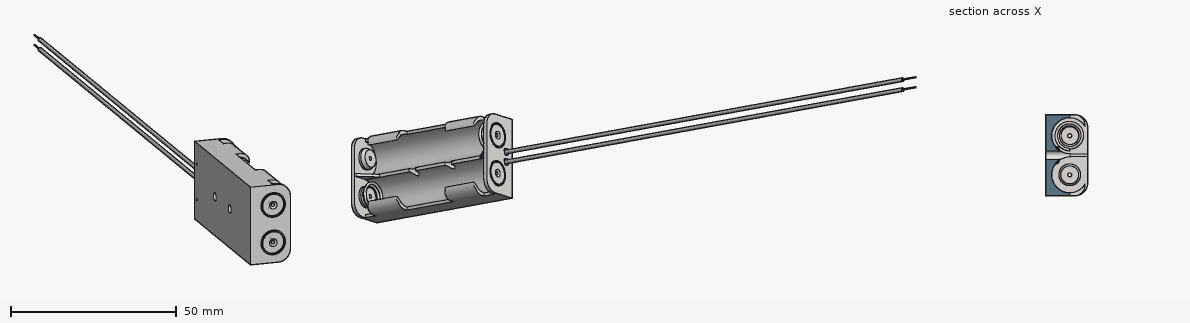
import cadquery as cq
import math

length = 51.31
height = 12.8
width = 24.51
end_wall = 1.2
end_wall_corner_radius = 4.0
rim_height = 7.4

bay_axis_height = 7.3
bay_axis_offset = 5.9
bay_radius = 5.4

clip_height = 11.9
clip_corner_radius = 3.2
clip_length = 11.7
clip_end_gap = 5.2
clip_tip_radius = 0.8

gusset_thickness = 0.8
gusset_leg = height - rim_height

mount_hole_diameter = 2.5
mount_hole_spacing = 13.6
mount_hole_centre_x = 25.45
pin_hole_diameter = 0.6
pin_hole_x = 2.1
pin_hole_offset = 5.6

seat_diameter = 7.7
seat_depth = 0.4
flange_diameter = 6.8
shank_diameter = 3.4
countersink_diameter = 2.4
bore_diameter = 1.1
head_diameter = 6.6
head_tip_diameter = 5.4
head_rim_thickness = 0.7
head_taper_length = 1.2

spring_wire_diameter = 0.8
spring_base_radius = 2.5
spring_tip_radius = 4.7
spring_start = 2.3
spring_rise = 2.7
spring_turns = 3

lead_height = 3.0
lead_spacing = 3.1
insulation_diameter = 1.2
conductor_diameter = 0.4
insulation_length = 150.0
stripped_length = 5.0
lead_hole_diameter = 2.2
lead_hole_depth = end_wall

head_length = head_rim_thickness + head_taper_length
bay_offsets = (-bay_axis_offset, bay_axis_offset)
lead_offsets = (-lead_spacing / 2, lead_spacing / 2)


def cylinder_x(diameter, start, end, y, z):
    """Cylinder along X from start to end, with its axis at (y, z)."""
    return cq.Workplane("YZ", origin=(start, y, z)).circle(diameter / 2).extrude(end - start)


def plain_block(start, end, top):
    """Full-width block from start to end along X, standing on Y = 0."""
    base = cq.Workplane("XY", origin=(start, 0, 0))
    return base.box(end - start, top, width, centered=(False, False, True))


def wall_block(start, end, top, corner_radius):
    """Full-width block from start to end along X, with both +Y corners rounded."""
    block = plain_block(start, end, top)
    return block.edges("|X and >Y").fillet(corner_radius)


def gusset():
    """Triangular web against the -X end wall."""
    foot = end_wall + gusset_leg
    outline = [(end_wall, rim_height), (foot, rim_height), (end_wall, height)]
    return cq.Workplane("XY").polyline(outline).close().extrude(gusset_thickness / 2, both=True)


def at_far_end(shape):
    """Mirror a shape from the -X end of the housing to the +X end."""
    return shape.mirror("YZ", (length / 2, 0, 0))


def contact_hole(z):
    """Seat and shank hole of a contact in the -X end wall."""
    seat = cylinder_x(seat_diameter, 0, seat_depth, bay_axis_height, z)
    return seat.union(cylinder_x(shank_diameter, 0, end_wall, bay_axis_height, z))


def floor_holes(diameter, points):
    """Holes along Y at (X, Z) points, from the floor up through the full height."""
    return cq.Workplane("XZ").pushPoints(points).circle(diameter / 2).extrude(-height)


def make_clip_block():
    """Both clips of the -X end as one full-width block, with rounded tip corners."""
    clip_end = clip_end_gap + clip_length
    curled = wall_block(clip_end_gap, clip_end, clip_height, clip_corner_radius)
    tips = plain_block(clip_end_gap, clip_end, clip_height).edges("|Z and >Y").fillet(clip_tip_radius)
    return curled.intersect(tips)


def make_housing():
    body = plain_block(0, length, rim_height)
    clip = make_clip_block()
    body = body.union(clip).union(at_far_end(clip))
    opening = cq.Workplane("XY", origin=(0, rim_height, 0))
    body = body.cut(opening.box(length, height, 2 * bay_axis_offset, centered=(False, False, True)))
    for z in bay_offsets:
        body = body.cut(cylinder_x(2 * bay_radius, end_wall, length - end_wall, bay_axis_height, z))
    end = wall_block(0, end_wall, height, end_wall_corner_radius)
    for brace in (end, gusset()):
        body = body.union(brace).union(at_far_end(brace))
    for z in bay_offsets:
        hole = contact_hole(z)
        body = body.cut(hole).cut(at_far_end(hole))
    for z in lead_offsets:
        body = body.cut(cylinder_x(lead_hole_diameter, 0, lead_hole_depth, lead_height, z))
    half_spacing = mount_hole_spacing / 2
    mount_points = [(mount_hole_centre_x + side * half_spacing, 0) for side in (-1, 1)]
    pin_points = [(pin_hole_x, side * pin_hole_offset) for side in (-1, 1)]
    body = body.cut(floor_holes(mount_hole_diameter, mount_points))
    return body.cut(floor_holes(pin_hole_diameter, pin_points))


def make_button_contact(z):
    """Hollow rivet in the -X end wall, turned from a half profile of (X, radius) points."""
    rim_end = end_wall + head_rim_thickness
    head_end = end_wall + head_length
    profile = [
        (0, countersink_diameter / 2),
        (0, flange_diameter / 2),
        (seat_depth, flange_diameter / 2),
        (seat_depth, shank_diameter / 2),
        (end_wall, shank_diameter / 2),
        (end_wall, head_diameter / 2),
        (rim_end, head_diameter / 2),
        (head_end, head_tip_diameter / 2),
        (head_end, bore_diameter / 2),
        (seat_depth, bore_diameter / 2),
    ]
    rivet = cq.Workplane("XY").polyline(profile).close().revolve(360, (0, 0, 0), (1, 0, 0))
    return rivet.translate((0, bay_axis_height, z))


def make_spring_contact(z):
    """Button contact with a conical spring wound outwards from its head."""
    cone_angle = math.degrees(math.atan2(spring_tip_radius - spring_base_radius, spring_rise))
    path = cq.Wire.makeHelix(spring_rise / spring_turns, spring_rise, spring_base_radius, angle=cone_angle)
    start = cq.Workplane("XZ", origin=(spring_base_radius, 0, 0)).circle(spring_wire_diameter / 2)
    coil = start.sweep(cq.Workplane(path), isFrenet=True)
    coil = coil.rotate((0, 0, 0), (0, 1, 0), 90).translate((spring_start, bay_axis_height, z))
    return make_button_contact(z).union(coil)


def make_insulation(z):
    return cylinder_x(insulation_diameter, -insulation_length, lead_hole_depth, lead_height, z)


def make_conductor(z):
    tip = -insulation_length - stripped_length
    return cylinder_x(conductor_diameter, tip, -insulation_length, lead_height, z)


housing = make_housing()
lower_z, upper_z = bay_offsets
springs = [make_spring_contact(upper_z), at_far_end(make_spring_contact(lower_z))]
buttons = [make_button_contact(lower_z), at_far_end(make_button_contact(upper_z))]
insulations = [make_insulation(z) for z in lead_offsets]
conductors = [make_conductor(z) for z in lead_offsets]

bodies = [housing, *springs, *buttons, *insulations, *conductors]
result = cq.Compound.makeCompound([body.solids().val() for body in bodies])